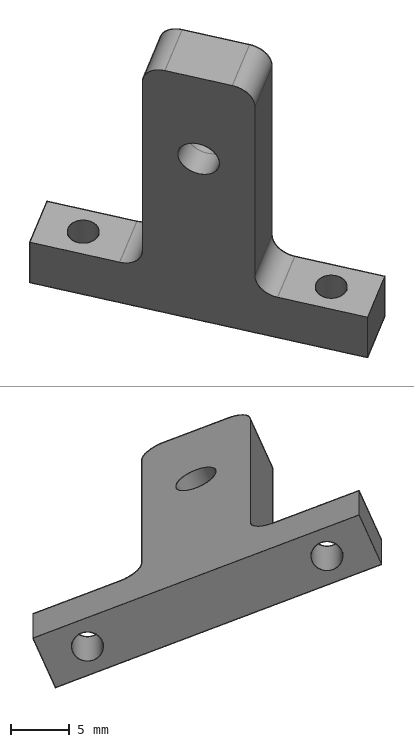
import cadquery as cq

length = 30.0
height = 30.0
thickness = 5.0
base_height = thickness
stem_width = length / 3
corner_radius = 2.0
stem_hole_diameter = 3.7
stem_hole_height = height * 2 / 3
base_hole_diameter = 2.7
base_hole_end_distance = 4.0

base = cq.Workplane("XY").box(length, thickness, base_height, centered=(True, True, False))
stem = cq.Workplane("XY").box(stem_width, thickness, height, centered=(True, True, False))
body = base.union(stem)


def stem_edges_at(z):
    """Select the two Y-direction edges along the stem sides at height z."""
    margin = 0.3
    half_width = stem_width / 2 + margin
    half_depth = thickness / 2 + margin
    box = cq.selectors.BoxSelector(
        (-half_width, -half_depth, z - margin),
        (half_width, half_depth, z + margin),
    )
    return body.edges("|Y").edges(box)


for edge_height in (height, base_height):
    body = stem_edges_at(edge_height).fillet(corner_radius)

stem_hole = (
    cq.Workplane("XZ")
    .center(0, stem_hole_height)
    .circle(stem_hole_diameter / 2)
    .extrude(thickness, both=True)
)

base_hole_x = length / 2 - base_hole_end_distance
base_holes = (
    cq.Workplane("XY")
    .pushPoints([(-base_hole_x, 0), (base_hole_x, 0)])
    .circle(base_hole_diameter / 2)
    .extrude(base_height)
)

result = body.cut(stem_hole).cut(base_holes)